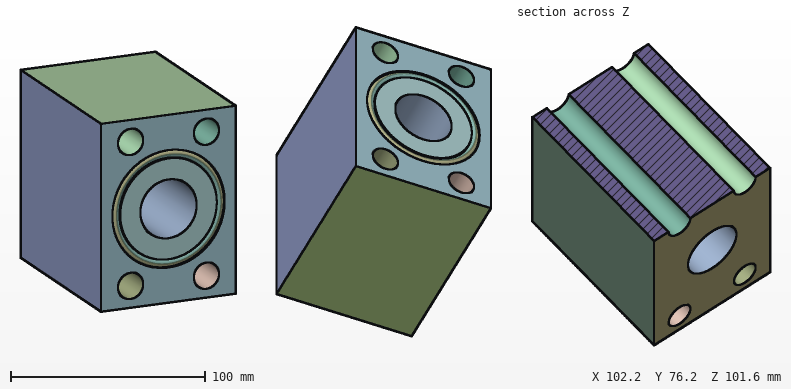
import cadquery as cq

block_length = 101.6
block_width = 76.2
block_height = 101.6
bore_diameter = 31.8

bolt_hole_diameter = 14.2
bolt_spacing_y = 42.8
bolt_spacing_z = 77.8

overall_length = 102.2
seal_outer_diameter = 63.5
seal_inner_diameter = 54.6
seal_edge_radius = 2.0
groove_depth = 2.9
groove_floor_x = block_length - groove_depth
seal_height = overall_length - groove_floor_x


def make_annulus(height):
    """Square-edged ring with the seal diameters, rising along +X from the groove floor."""
    return (
        cq.Workplane("YZ", origin=(groove_floor_x, 0, 0))
        .circle(seal_outer_diameter / 2)
        .circle(seal_inner_diameter / 2)
        .extrude(height)
    )


def make_block():
    """Block with a through bore, four through bolt holes and a seal groove."""
    blank = cq.Workplane("YZ").rect(block_width, block_height).extrude(block_length)
    bore = cq.Workplane("YZ").circle(bore_diameter / 2).extrude(block_length)
    bolt_holes = (
        cq.Workplane("YZ")
        .rect(bolt_spacing_y, bolt_spacing_z, forConstruction=True)
        .vertices()
        .circle(bolt_hole_diameter / 2)
        .extrude(block_length)
    )
    groove = make_annulus(groove_depth)
    return blank.cut(bore).cut(bolt_holes).cut(groove)


def make_seal_ring():
    """Ring seated in the groove, with both edges of its exposed end rounded."""
    return make_annulus(seal_height).faces(">X").edges().fillet(seal_edge_radius)


block = make_block()
seal_ring = make_seal_ring()

result = cq.Compound.makeCompound([block.solids().val(), seal_ring.solids().val()])